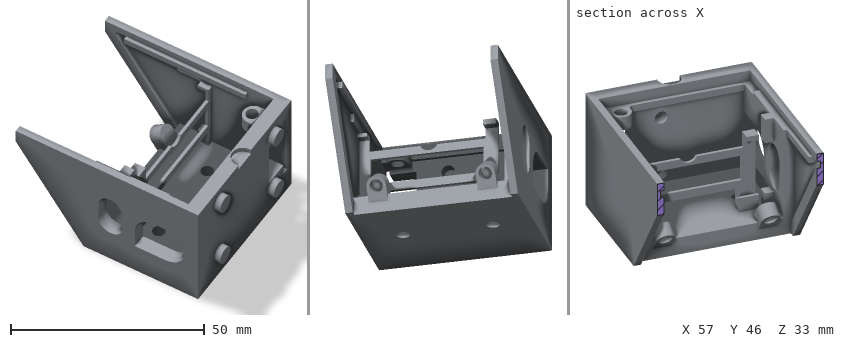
import cadquery as cq
import math

length = 55.1
width = 46.0
height = 33.0
side_wall = 2.0
rear_wall = 4.1
floor_top = 4.95
floor_front = 22.0
tip_height = 4.1
slope_foot = 20.45

half_width = width / 2
inner_y = half_width - side_wall
rear_inner = length - rear_wall
slope_drop = height - tip_height
slope_length = math.hypot(slope_foot, slope_drop)

hole_diameter = 3.5
overlap = 0.3


def box(x0, x1, y0, y1, z0, z1):
    """Block given by its limits along each axis."""
    return cq.Workplane("XY").box(x1 - x0, y1 - y0, z1 - z0, centered=False).translate((x0, y0, z0))


def side_prism(outline, y0, y1):
    """Prism with an XZ outline, running from y0 up to y1."""
    return cq.Workplane("XZ", origin=(0, y1, 0)).polyline(outline).close().extrude(y1 - y0)


side_outline = [
    (0, height),
    (length, height),
    (length, 0),
    (slope_foot, 0),
    (0, slope_drop),
]
body = side_prism(side_outline, inner_y, half_width)
body = body.union(side_prism(side_outline, -half_width, -inner_y))
body = body.union(box(rear_inner, length, -inner_y, inner_y, 0, height))
body = body.union(box(floor_front, rear_inner, -inner_y, inner_y, 0, floor_top))

ledge_top = 29.85
rail_top = 30.8
rail_depth = 1.75
rail_start = 6.45
rail_end = 43.1
rail_inner = 20.0
recess_outer = 22.0
post_foot = 3.0
frame_top = 26.7
frame_front = 31.4
recess_corner_radius = 0.95


def inset_slope_x(z):
    """X of the inset plane, parallel to the sloping edge, at height z."""
    return floor_front - (z - post_foot) * slope_foot / slope_drop


recess_outline = [
    (floor_front, post_foot),
    (inset_slope_x(rail_top), rail_top),
    (floor_front, rail_top),
]
for y0, y1 in ((inner_y, recess_outer), (-recess_outer, -inner_y)):
    recess = side_prism(recess_outline, y0, y1)
    recess = recess.edges("|Y").edges("<X").fillet(recess_corner_radius)
    body = body.cut(recess)
body = body.cut(box(floor_front, frame_front, inner_y, recess_outer, floor_top, frame_top))

rail_bottom = rail_top - rail_depth
wall_core = recess_outer + overlap
body = body.union(box(rail_start, rail_end, rail_inner, wall_core, rail_bottom, rail_top))
body = body.union(box(rail_start, floor_front + overlap, -wall_core, -rail_inner, rail_bottom, rail_top))

lining_inner = -19.05
lining_step = 44.1
body = body.union(box(floor_front, lining_step, -inner_y - overlap, lining_inner, 0, rail_top))
body = body.union(box(lining_step, rear_inner + overlap, -inner_y - overlap, lining_inner, 0, ledge_top))

ledge_bottom = 28.0
ledge_front = 49.95
body = body.union(
    box(ledge_front, rear_inner + overlap, lining_inner - overlap, inner_y + overlap, ledge_bottom, ledge_top)
)

window_side = 11.95
slot_side = 19.1
window_bottom = 11.25
window_top = 24.95
slot_bottom = 7.85
rear_cut_end = length + overlap
body = body.cut(box(rear_inner, rear_cut_end, window_side, slot_side, window_bottom, window_top))
body = body.cut(box(rear_inner, rear_cut_end, slot_side, inner_y, slot_bottom, ledge_bottom))

boss_x = 48.0
boss_y = 16.1
boss_radius = 3.0
boss_bottom = 26.0
boss_hole_x = 47.55
boss_fillet = boss_bottom - window_top
boss_depth = ledge_top - boss_bottom


def concave_fillet(plane, corner, u_dir, v_dir, radius, depth):
    """Fillet filling a square inside corner; u_dir and v_dir point away from it."""
    u, v = corner
    bulge = radius * (1 - math.sqrt(0.5))
    return (
        plane.moveTo(u - u_dir * overlap, v - v_dir * overlap)
        .lineTo(u + u_dir * radius, v - v_dir * overlap)
        .lineTo(u + u_dir * radius, v)
        .threePointArc((u + u_dir * bulge, v + v_dir * bulge), (u, v + v_dir * radius))
        .lineTo(u - u_dir * overlap, v + v_dir * radius)
        .close()
        .extrude(depth)
    )


boss_plane = cq.Workplane("XY", origin=(0, 0, boss_bottom))
boss = (
    boss_plane.moveTo(rear_inner + overlap, boss_y + boss_radius)
    .lineTo(boss_x, boss_y + boss_radius)
    .threePointArc((boss_x - boss_radius, boss_y), (boss_x, boss_y - boss_radius))
    .lineTo(rear_inner + overlap, boss_y - boss_radius)
    .close()
    .extrude(boss_depth)
)
body = body.union(boss)
for side in (-1, 1):
    ledge_plane = cq.Workplane("XY", origin=(0, 0, ledge_bottom))
    ledge_corner = (ledge_front, boss_y + side * boss_radius)
    body = body.union(
        concave_fillet(ledge_plane, ledge_corner, -1, side, boss_fillet, ledge_top - ledge_bottom)
    )
under_plane = cq.Workplane("XZ", origin=(0, boss_y + boss_radius, 0))
body = body.union(
    concave_fillet(under_plane, (rear_inner, boss_bottom), -1, -1, boss_fillet, 2 * boss_radius)
)
body = body.cut(boss_plane.center(boss_hole_x, boss_y).circle(hole_diameter / 2).extrude(boss_depth))

frame_back = 32.3
holder_front = 29.0
frame_left = 19.45
frame_right = -14.95
frame_post_side = -11.5
upper_bar_top = 22.35
window_y0, window_y1 = -11.0, 19.15
window_z0, window_z1 = 12.9, 20.05
gap_side = -9.5
gap_top = 10.55
sensor_y = 3.6
relief_radius = 2.45
relief_z = 23.3


def frame_cut(y0, y1, z0, z1):
    return box(frame_front - overlap, frame_back + overlap, y0, y1, z0, z1)


frame = box(frame_front, frame_back, frame_right, recess_outer + overlap, floor_top - overlap, frame_top)
frame = frame.cut(frame_cut(frame_post_side, frame_left, upper_bar_top, frame_top))
frame = frame.cut(frame_cut(window_y0, window_y1, window_z0, window_z1))
frame = frame.cut(frame_cut(gap_side, frame_left, floor_top, gap_top))
relief = (
    cq.Workplane("YZ", origin=(frame_front, 0, 0))
    .center(sensor_y, relief_z)
    .circle(relief_radius)
    .extrude(frame_back - frame_front)
)
body = body.union(frame.cut(relief))

lip_back = 29.9
lip_top = 9.0
slot_floor = 8
holder_back = frame_front + overlap
left_hook_bottom = 25.65
right_hook_bottom = 25.2
holders = [
    (frame_left, wall_core, frame_left, wall_core, left_hook_bottom),
    (frame_right, frame_post_side, frame_right, gap_side, right_hook_bottom),
]
for hook_y0, hook_y1, lip_y0, lip_y1, hook_bottom in holders:
    body = body.union(box(holder_front, holder_back, hook_y0, hook_y1, hook_bottom, frame_top))
    body = body.union(box(holder_front, lip_back, lip_y0, lip_y1, floor_top - overlap, lip_top))
    body = body.union(box(lip_back, holder_back, lip_y0, lip_y1, floor_top - overlap, slot_floor))

block_inner = -16.6
block_back = 32.05
upper_block_bottom = 23.8
for block_bottom, block_top in ((floor_top - overlap, lip_top), (upper_block_bottom, rail_top)):
    body = body.union(
        box(holder_front, block_back, lining_inner - overlap, block_inner, block_bottom, block_top)
    )

post_y = 14.55
post_width = 5.2
post_length = 4
post_hole_depth = 3.0
post_center_z = 6.4
post_fillet = 2.0
post_axis = (slope_drop / slope_length, 0, slope_foot / slope_length)
post_radius = post_width / 2
post_rise = (post_center_z - post_foot) * slope_length / slope_drop

slope_angle = math.atan2(slope_drop, slope_foot)
post_back_x = inset_slope_x(floor_top) + post_length / post_axis[0]
fillet_tangent = post_fillet * math.tan(slope_angle / 2)
fillet_end_x = post_back_x + fillet_tangent
fillet_start = (
    post_back_x - fillet_tangent * math.cos(slope_angle),
    floor_top + fillet_tangent * math.sin(slope_angle),
)
fillet_middle = (
    fillet_end_x - post_fillet * math.sin(slope_angle / 2),
    floor_top + post_fillet * (1 - math.cos(slope_angle / 2)),
)


def tilted_post(y):
    """Round-topped post with its rear root fillet, and the blind hole to cut from it."""
    face = cq.Plane(
        origin=(inset_slope_x(post_center_z), y, post_center_z),
        xDir=(0, 1, 0),
        normal=post_axis,
    )
    post = (
        cq.Workplane(face)
        .moveTo(-post_radius, -post_rise)
        .lineTo(-post_radius, 0)
        .threePointArc((0, post_radius), (post_radius, 0))
        .lineTo(post_radius, -post_rise)
        .close()
        .extrude(post_length)
    )
    root = (
        cq.Workplane("XZ", origin=(0, y + post_radius, 0))
        .moveTo(*fillet_start)
        .threePointArc(fillet_middle, (fillet_end_x, floor_top))
        .lineTo(fillet_end_x, floor_top - overlap)
        .lineTo(floor_front, floor_top - overlap)
        .lineTo(floor_front, floor_top)
        .close()
        .extrude(post_width)
    )
    hole = cq.Workplane(face).circle(hole_diameter / 2).extrude(post_hole_depth)
    return post.union(root), hole


for y in (-post_y, post_y):
    post, hole = tilted_post(y)
    body = body.union(post).cut(hole)

slot_x = 28.6
slot_z = 16.6
slot_height = 12.95
slot_width = 7.2
leaf_x0, leaf_x1 = 36.0, 51.0
leaf_z0, leaf_z1 = 9.4, 21.5
leaf_radius = 6.0
leaf_bulge = leaf_radius * (1 - math.sqrt(0.5))

lining_cut = half_width + lining_inner
outer_side = cq.Workplane("XZ", origin=(0, lining_inner, 0))
side_slot = outer_side.center(slot_x, slot_z).slot2D(slot_height, slot_width, 90).extrude(lining_cut)
leaf_window = (
    outer_side.moveTo(leaf_x0, leaf_z0)
    .lineTo(leaf_x1 - leaf_radius, leaf_z0)
    .threePointArc((leaf_x1 - leaf_bulge, leaf_z0 + leaf_bulge), (leaf_x1, leaf_z0 + leaf_radius))
    .lineTo(leaf_x1, leaf_z1)
    .lineTo(leaf_x0 + leaf_radius, leaf_z1)
    .threePointArc((leaf_x0 + leaf_bulge, leaf_z1 - leaf_bulge), (leaf_x0, leaf_z1 - leaf_radius))
    .close()
    .extrude(lining_cut)
)
body = body.cut(side_slot).cut(leaf_window)

floor_hole_x = 36.6
floor_hole_spread = 23.95
floor_hole_mid_y = -0.15
rear_hole_depth = 2.85
rear_hole_heights = (7.5, 24.0)
pin_diameter = 5.0
pin_tip = 57
pin_rows = (8.2, 28.35)
pin_columns = (-12.6, 13.85)

floor_holes = (
    cq.Workplane("XY")
    .center(floor_hole_x, floor_hole_mid_y)
    .pushPoints([(0, -floor_hole_spread / 2), (0, floor_hole_spread / 2)])
    .circle(hole_diameter / 2)
    .extrude(floor_top)
)
rear_holes = (
    cq.Workplane("YZ", origin=(rear_inner, 0, 0))
    .pushPoints([(sensor_y, z) for z in rear_hole_heights])
    .circle(hole_diameter / 2)
    .extrude(rear_hole_depth)
)
rear_pins = (
    cq.Workplane("YZ", origin=(length - overlap, 0, 0))
    .pushPoints([(y, z) for y in pin_columns for z in pin_rows])
    .circle(pin_diameter / 2)
    .extrude(pin_tip - length + overlap)
)
body = body.cut(floor_holes).cut(rear_holes).union(rear_pins)

notch_x = 54.55
notch_radius = 3.15
notch_depth = 1.5
notch_floor = cq.Workplane("XY", origin=(notch_x, 0, height - notch_depth))
notch = notch_floor.circle(notch_radius).extrude(notch_depth)
result = body.cut(notch)